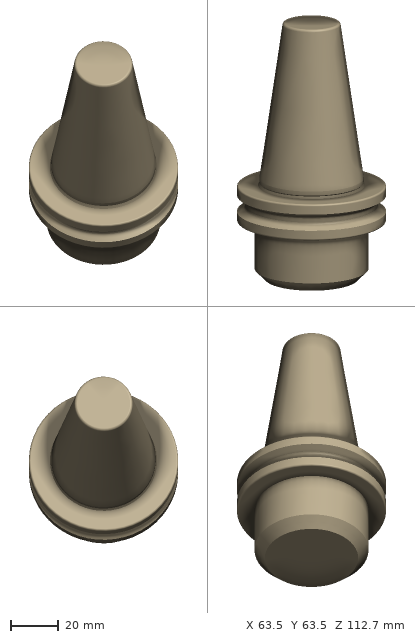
import cadquery as cq

total_height = 112.7
taper_length = 68.4
gauge_to_flange = 3.2
flange_height = 15.9
gauge_height = total_height - taper_length
flange_top = gauge_height - gauge_to_flange
flange_bottom = flange_top - flange_height

gauge_radius = 44.4 / 2
taper_ratio = 7 / 24
small_end_radius = gauge_radius - taper_length * taper_ratio / 2
small_end_round = 1.1

neck_radius = 21.8
neck_top = flange_top + 0.9
neck_chamfer = gauge_radius - neck_radius
neck_foot_radius = 22.8

flange_radius = 63.5 / 2
flange_round = 0.8
groove_radius = 28.2
flange_rim_height = 4.4
groove_upper_edge = flange_top - flange_rim_height
groove_lower_edge = flange_bottom + flange_rim_height
groove_flank_height = 2.0
groove_corner_round = 1.0

nose_radius = 48.5 / 2
nose_chamfer = 4.4


def revolved(points):
    """Revolve an (radius, height) outline about Z."""
    return cq.Workplane("XZ").polyline(points).close().revolve(360, (0, 0, 0), (0, 1, 0))


def make_taper():
    taper = revolved([
        (0, flange_top),
        (neck_foot_radius, flange_top),
        (neck_radius, neck_top),
        (gauge_radius, neck_top + neck_chamfer),
        (gauge_radius, gauge_height),
        (small_end_radius, total_height),
        (0, total_height),
    ])
    return taper.faces(">Z").edges().fillet(small_end_round)


def make_flange():
    flange = cq.Workplane("XY").workplane(offset=flange_bottom).circle(flange_radius).extrude(flange_height)
    flange = flange.faces("<Z or >Z").edges().fillet(flange_round)
    groove_floor_top = groove_upper_edge - groove_flank_height
    groove_floor_bottom = groove_lower_edge + groove_flank_height
    core = revolved([
        (0, groove_lower_edge),
        (flange_radius, groove_lower_edge),
        (groove_radius, groove_floor_bottom),
        (groove_radius, groove_floor_top),
        (flange_radius, groove_upper_edge),
        (0, groove_upper_edge),
    ])
    floor_edges = cq.selectors.BoxSelector(
        (-flange_radius, -flange_radius, groove_floor_bottom - groove_corner_round),
        (flange_radius, flange_radius, groove_floor_top + groove_corner_round),
    )
    core = core.edges("%CIRCLE").edges(floor_edges).fillet(groove_corner_round)
    groove_band = (
        cq.Workplane("XY")
        .workplane(offset=groove_lower_edge)
        .circle(flange_radius)
        .extrude(groove_upper_edge - groove_lower_edge)
    )
    return flange.cut(groove_band.cut(core))


def make_nose():
    nose = cq.Workplane("XY").circle(nose_radius).extrude(flange_bottom)
    return nose.faces("<Z").edges().chamfer(nose_chamfer)


result = make_nose().union(make_flange()).union(make_taper())